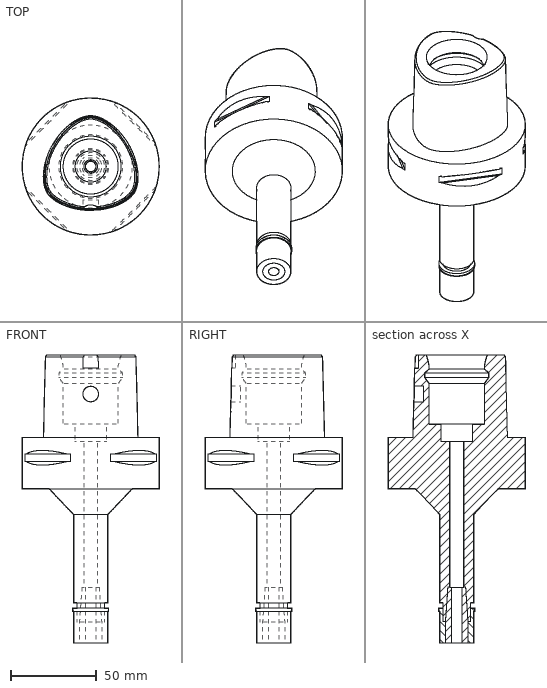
import cadquery as cq
import math


shank_length = 48.0
shank_mean_diameter = 55.3
shank_taper = 1 / 20
shank_eccentricity = 2.0
shank_chamfer_height = 1.3
shank_chamfer_width = 0.8
curve_points = 24

notch_radius = 6.0
notch_axis_offset = 28.4
notch_height = 7.7
side_hole_diameter = 9.0
side_hole_height = 25.2
side_hole_floor_offset = 19.5

flange_diameter = 80.0
flange_thickness = 30.0
slot_count = 4
first_slot_angle = 45
slot_height = 4.4
slot_mouth_height = 8.5
slot_floor_offset = 35.3
slot_wall_depth = 1.0
slot_center_depth = 12.0

cone_top_diameter = 48.4
cone_height = 15.0
arbor_diameter = 20.0
arbor_end_depth = 96.5
thread_diameter = 16.1
thread_end_depth = 107.5

overall_length = 168.0
total_depth = overall_length - shank_length
nut_top_depth = 99.5
nut_collar_diameter = 21.0
nut_collar_height = 2.0
nut_diameter = 20.0

mouth_diameter = 35.5
bore_diameter = 32.1
mouth_cone_depth = 6.2
groove_diameter = 37.1
groove_start_depth = 8.2
groove_wall_start_depth = 10.5
groove_wall_end_depth = 13.3
groove_end_depth = 16.8
bore_depth = 40.3
recess_diameter = 18.1
recess_depth = 50.4
channel_diameter = 7.9

collet_bore_diameter = 6.0
collet_top_diameter = 10.0
collet_base_diameter = 13.0
collet_top_depth = 87.4


def revolve_profile(points):
    """Solid of revolution about Z from (radius, height) points."""
    return cq.Workplane("XZ").polyline(points).close().revolve(360, (0, 0), (0, 1))


def polygon_point(mean_diameter, angle):
    """Point of the three-lobed shank curve, one lobe on +Y and one flat on -Y."""
    mean_radius = mean_diameter / 2
    e = shank_eccentricity
    across = mean_radius * math.sin(angle) + 2 * e * math.sin(2 * angle) + e * math.sin(4 * angle)
    along = mean_radius * math.cos(angle) - 2 * e * math.cos(2 * angle) + e * math.cos(4 * angle)
    return cq.Vector(across, -along, 0)


def polygon_wire(mean_diameter, height):
    angles = [2 * math.pi * i / curve_points for i in range(curve_points)]
    points = [polygon_point(mean_diameter, a) + cq.Vector(0, 0, height) for a in angles]
    return cq.Wire.assembleEdges([cq.Edge.makeSpline(points, periodic=True)])


def make_shank():
    """Tapered polygon shank with a chamfered top edge."""
    chamfer_height = shank_length - shank_chamfer_height
    chamfer_start_diameter = shank_mean_diameter - shank_taper * chamfer_height
    top_diameter = chamfer_start_diameter - 2 * shank_chamfer_width
    base = polygon_wire(shank_mean_diameter, 0)
    chamfer_start = polygon_wire(chamfer_start_diameter, chamfer_height)
    top = polygon_wire(top_diameter, shank_length)
    taper = cq.Solid.makeLoft([base, chamfer_start], True)
    chamfer = cq.Solid.makeLoft([chamfer_start, top], True)
    return cq.Workplane(taper).union(cq.Workplane(chamfer))


def make_gripper_slot():
    """Trapezoidal slot cutter on the +X side, running along Y."""
    mouth_offset = flange_diameter / 2
    slope_start = slot_floor_offset + slot_wall_depth
    profile = [
        (slot_floor_offset, slot_height / 2),
        (slope_start, slot_height / 2),
        (mouth_offset, slot_mouth_height / 2),
        (mouth_offset, -slot_mouth_height / 2),
        (slope_start, -slot_height / 2),
        (slot_floor_offset, -slot_height / 2),
    ]
    cutter = cq.Workplane("XZ").polyline(profile).close().extrude(mouth_offset, both=True)
    return cutter.translate((0, 0, -slot_center_depth))


def make_collet_body():
    """Outer shape of the collet: a cone in the holder and a straight end in the nut."""
    return revolve_profile([
        (0, -collet_top_depth),
        (collet_top_diameter / 2, -collet_top_depth),
        (collet_base_diameter / 2, -thread_end_depth),
        (collet_base_diameter / 2, -total_depth),
        (0, -total_depth),
    ])


def make_clamping_bore():
    """Cutter for the stepped bore, its undercut groove and the channel to the collet."""
    return revolve_profile([
        (0, shank_length),
        (mouth_diameter / 2, shank_length),
        (bore_diameter / 2, shank_length - mouth_cone_depth),
        (bore_diameter / 2, shank_length - groove_start_depth),
        (groove_diameter / 2, shank_length - groove_wall_start_depth),
        (groove_diameter / 2, shank_length - groove_wall_end_depth),
        (bore_diameter / 2, shank_length - groove_end_depth),
        (bore_diameter / 2, shank_length - bore_depth),
        (recess_diameter / 2, shank_length - bore_depth),
        (recess_diameter / 2, shank_length - recess_depth),
        (channel_diameter / 2, shank_length - recess_depth),
        (channel_diameter / 2, -thread_end_depth),
        (0, -thread_end_depth),
    ])


def make_holder():
    flange_and_arbor = revolve_profile([
        (0, 0),
        (flange_diameter / 2, 0),
        (flange_diameter / 2, -flange_thickness),
        (cone_top_diameter / 2, -flange_thickness),
        (arbor_diameter / 2, -flange_thickness - cone_height),
        (arbor_diameter / 2, -arbor_end_depth),
        (thread_diameter / 2, -arbor_end_depth),
        (thread_diameter / 2, -thread_end_depth),
        (0, -thread_end_depth),
    ])
    holder = make_shank().union(flange_and_arbor)
    holder = holder.cut(make_clamping_bore()).cut(make_collet_body())

    notch = (
        cq.Workplane("XY", origin=(0, -notch_axis_offset, shank_length - notch_height))
        .circle(notch_radius)
        .extrude(notch_height)
    )
    side_hole = (
        cq.Workplane("XZ", origin=(0, -side_hole_floor_offset, side_hole_height))
        .circle(side_hole_diameter / 2)
        .extrude(shank_mean_diameter / 2)
    )
    holder = holder.cut(notch).cut(side_hole)

    slot = make_gripper_slot()
    for i in range(slot_count):
        angle = first_slot_angle + i * 360 / slot_count
        holder = holder.cut(slot.rotate((0, 0, 0), (0, 0, 1), angle))
    return holder


def make_nut():
    collar_end = nut_top_depth + nut_collar_height
    return revolve_profile([
        (thread_diameter / 2, -nut_top_depth),
        (nut_collar_diameter / 2, -nut_top_depth),
        (nut_collar_diameter / 2, -collar_end),
        (nut_diameter / 2, -collar_end),
        (nut_diameter / 2, -total_depth),
        (collet_base_diameter / 2, -total_depth),
        (collet_base_diameter / 2, -thread_end_depth),
        (thread_diameter / 2, -thread_end_depth),
    ])


def make_collet():
    bore = (
        cq.Workplane("XY", origin=(0, 0, -total_depth))
        .circle(collet_bore_diameter / 2)
        .extrude(total_depth - collet_top_depth)
    )
    return make_collet_body().cut(bore)


holder = make_holder()
nut = make_nut()
collet = make_collet()
result = cq.Compound.makeCompound([*holder.vals(), nut.val(), *collet.vals()])